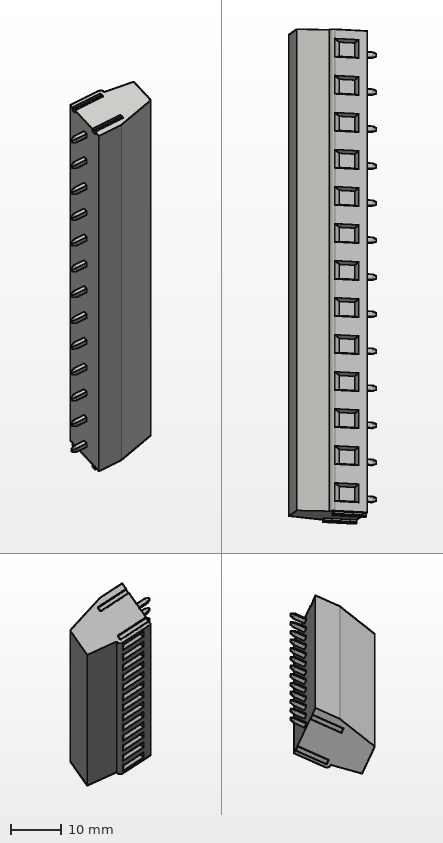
import cadquery as cq
poles = 13
overall_length = 98.1
housing_length = 97.4
pitch = housing_length / poles
width = 10.2
depth = 14.0

shoulder_y = 6.8
shoulder_radius = 0.9
ledge_y = shoulder_y + shoulder_radius
crest_left_x = 1.9
crest_right_x = 7.9
back_wall_y = 5.3

rib_width = 1.0
rib_root_width = 0.6
rib_tip_height = 0.25
rib_length = 6.8
rib_height = overall_length - housing_length
rib_centres_x = (1.3, 8.3)

mouth_low_y = 1.8
mouth_height = 3.7
throat_low_y = 2.3
throat_high_y = 5.4
throat_height = 2.8
funnel_depth = 1.4

pin_x = 5.4
pin_width = 0.9
pin_height = 1.1
pin_length = 3.2
pin_tip_length = 0.8
pin_tip_width = 0.4
pin_tip_height = 0.6

pole_heights = [(i + 0.5) * pitch for i in range(poles)]


def make_housing():
    return (
        cq.Workplane("XY")
        .moveTo(0, 0)
        .lineTo(width, 0)
        .lineTo(width, back_wall_y)
        .lineTo(crest_right_x, depth)
        .lineTo(crest_left_x, depth)
        .lineTo(shoulder_radius, ledge_y)
        .radiusArc((0, shoulder_y), -shoulder_radius)
        .close()
        .extrude(housing_length)
    )


def make_groove(centre_x):
    """Rectangular slot cutter along Y, sunk into the top end from the pin face."""
    return (
        cq.Workplane("XY", origin=(centre_x, rib_length / 2, housing_length))
        .rect(rib_width, rib_length)
        .extrude(-rib_height)
    )


def make_rib(centre_x):
    """Bar along Y under the bottom end, flaring from a narrow root to a flat-sided tip."""
    root_half = rib_root_width / 2
    tip_half = rib_width / 2
    flare_z = rib_tip_height - rib_height
    section = [
        (centre_x - root_half, 0),
        (centre_x - tip_half, flare_z),
        (centre_x - tip_half, -rib_height),
        (centre_x + tip_half, -rib_height),
        (centre_x + tip_half, flare_z),
        (centre_x + root_half, 0),
    ]
    return cq.Workplane("XZ").polyline(section).close().extrude(-rib_length)


def make_funnel(centre_z):
    """Four-sided taper from the mouth in the -X face to the smaller throat."""
    mouth_centre_y = (mouth_low_y + shoulder_y) / 2
    throat_centre_y = (throat_low_y + throat_high_y) / 2
    return (
        cq.Workplane("YZ", origin=(0, 0, centre_z))
        .center(mouth_centre_y, 0)
        .rect(shoulder_y - mouth_low_y, mouth_height)
        .workplane(offset=funnel_depth)
        .center(throat_centre_y - mouth_centre_y, 0)
        .rect(throat_high_y - throat_low_y, throat_height)
        .loft(ruled=True)
    )


def make_pin(centre_z):
    """Rectangular pin growing out of the -Y face, ending in a four-sided tapered tip."""
    shank_length = pin_length - pin_tip_length
    shank = cq.Workplane("XZ", origin=(pin_x, 0, centre_z)).rect(pin_width, pin_height).extrude(shank_length)
    tip = (
        cq.Workplane("XZ", origin=(pin_x, -shank_length, centre_z))
        .rect(pin_width, pin_height)
        .workplane(offset=pin_tip_length)
        .rect(pin_tip_width, pin_tip_height)
        .loft(ruled=True)
    )
    return shank.union(tip)


result = make_housing()

for centre_x in rib_centres_x:
    result = result.cut(make_groove(centre_x))
    result = result.union(make_rib(centre_x))

for centre_z in pole_heights:
    result = result.cut(make_funnel(centre_z))
    result = result.union(make_pin(centre_z))